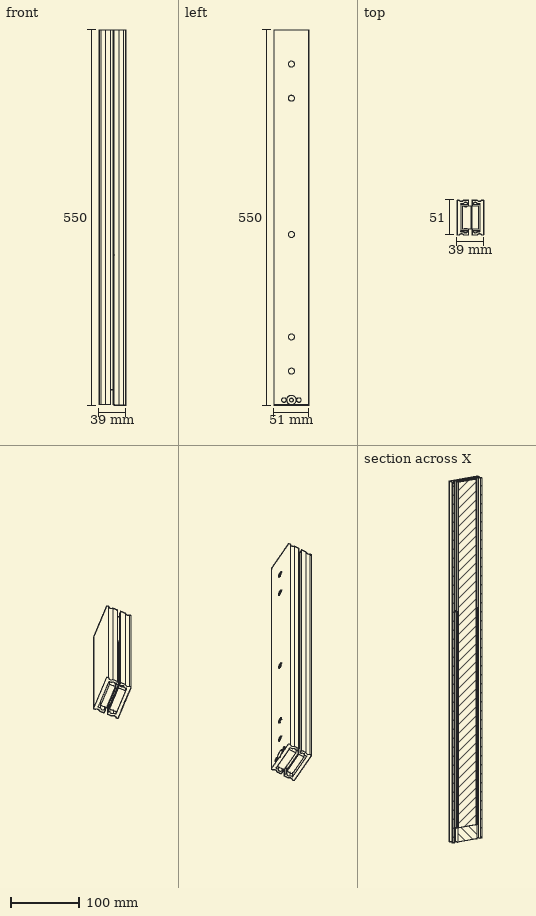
import cadquery as cq

width = 39.0
height = 51.0
length = 550.0
top_z = length / 2
bottom_z = -length / 2

rail_web = 5.5
rail_flange = 5.0
rail_corner_radius = 0.8
rail_gap = 5.0
left_rail_lift = 1.0
rail_back_x = width / 2
web_inner_x = rail_back_x - rail_web
lip_tip_x = rail_gap / 2
flange_inner_y = height / 2 - rail_flange

groove_x = 13.0
groove_width = 6.5
groove_depth = 1.5

race_x = 7.0
race_inset = 1.5
race_y = flange_inner_y - race_inset
race_diameter = 6.5

cage_thickness = 2.5
cage_clearance = 1.0
cage_length = 330.0
cage_outer_y = flange_inner_y - cage_clearance
cage_inner_x = web_inner_x - cage_thickness
cage_inner_y = cage_outer_y - cage_thickness

slider_height = 2 * cage_inner_y
plate_left_x = 1.0
plate_thickness = 1.4
plate_right_x = plate_left_x + plate_thickness
left_slider_lift = 22.5

mount_hole_diameter = 9.0
mount_hole_depth = 1.5
mount_hole_drops = (50.0, 100.0, 300.0, 450.0, 500.0)
stop_hole_rise = 7.5
stop_hole_z = bottom_z + stop_hole_rise
countersink_diameter = 14.0
screw_hole_diameter = 5.5
countersink_depth = (countersink_diameter - screw_hole_diameter) / 2
pin_hole_diameter = 6.5
pin_hole_y = 11.0

long_bottom_z = bottom_z + left_rail_lift
left_slider_bottom_z = bottom_z + left_slider_lift


def box(x_low, x_high, y_size, z_low, z_high):
    """Box centred on Y between the given X and Z limits."""
    return cq.Workplane("XY").box(
        x_high - x_low, y_size, z_high - z_low, centered=(False, True, False)
    ).translate((x_low, 0, z_low))


def rods(x, y, diameter):
    """Pair of full-length rods at +y and -y."""
    return (
        cq.Workplane("XY", origin=(0, 0, bottom_z))
        .pushPoints([(x, y), (x, -y)])
        .circle(diameter / 2)
        .extrude(length)
    )


def make_rail(side, z_low):
    """C-shaped rail on the -X (side = -1) or +X (side = 1) half."""
    half_groove = groove_width / 2
    groove_radius = (half_groove**2 + groove_depth**2) / (2 * groove_depth)
    groove_axis_y = height / 2 - groove_depth + groove_radius

    outside = box(lip_tip_x, rail_back_x, height, z_low, top_z)
    outside = outside.edges("|Z and >X").fillet(rail_corner_radius)
    inside = box(lip_tip_x, web_inner_x, 2 * flange_inner_y, z_low, top_z)
    rail = outside.cut(inside)
    rail = rail.cut(rods(groove_x, groove_axis_y, 2 * groove_radius))
    rail = rail.cut(rods(race_x, race_y, race_diameter))
    return rail if side > 0 else rail.mirror("YZ")


def drill_left_rail(rail):
    """Shallow mounting recesses, and the countersunk and pin holes of the end stop."""
    back = cq.Workplane("YZ", origin=(-rail_back_x, 0, 0))
    mounts = [(0, top_z - drop) for drop in mount_hole_drops]
    pins = [(side * pin_hole_y, stop_hole_z) for side in (-1, 1)]
    rail = rail.cut(back.pushPoints(mounts).circle(mount_hole_diameter / 2).extrude(mount_hole_depth))
    rail = rail.cut(back.pushPoints(pins).circle(pin_hole_diameter / 2).extrude(rail_web))
    screw_hole = back.center(0, stop_hole_z).circle(screw_hole_diameter / 2).extrude(rail_web)
    cone = cq.Workplane(
        cq.Solid.makeCone(
            countersink_diameter / 2,
            screw_hole_diameter / 2,
            countersink_depth,
            cq.Vector(-rail_back_x, 0, stop_hole_z),
            cq.Vector(1, 0, 0),
        )
    )
    return rail.cut(screw_hole).cut(cone)


def make_cage(side, z_low):
    """C-shaped sheet lining the rail, open towards the centre."""
    z_high = z_low + cage_length
    cage = box(lip_tip_x, web_inner_x, 2 * cage_outer_y, z_low, z_high).cut(
        box(lip_tip_x, cage_inner_x, 2 * cage_inner_y, z_low, z_high)
    )
    return cage if side > 0 else cage.mirror("YZ")


left_rail = drill_left_rail(make_rail(-1, long_bottom_z))
right_rail = make_rail(1, bottom_z)
left_cage = make_cage(-1, left_slider_bottom_z)
right_cage = make_cage(1, top_z - cage_length)

left_slider = box(-cage_inner_x, plate_left_x, slider_height, left_slider_bottom_z, top_z)
left_slider = left_slider.cut(rods(-race_x, race_y, race_diameter))
centre_plate = box(plate_left_x, plate_right_x, slider_height, long_bottom_z, top_z)
right_slider = box(plate_right_x, cage_inner_x, slider_height, long_bottom_z, top_z)

end_stop = box(-web_inner_x, -lip_tip_x, slider_height, long_bottom_z, left_slider_bottom_z)

result = cq.Compound.makeCompound(
    [
        left_rail.val(),
        right_rail.val(),
        left_cage.val(),
        right_cage.val(),
        left_slider.val(),
        centre_plate.val(),
        right_slider.val(),
        end_stop.val(),
    ]
)